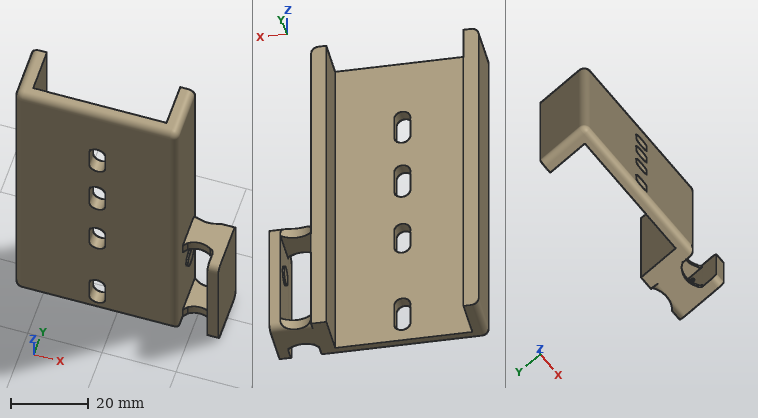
import cadquery as cq
import math

height = 87.5
total_width = 55.0
depth = 15.2

wall = 4.0
front_wall = 3.5
edge_radius = 2.0
clip_gap = 8.05
clip_wall = 3.0
channel_width = total_width - clip_gap - clip_wall

slot_width = 4.3
slot_x = 22.4
slots = [(67.5, 9.8), (50.4, 10.0), (32.3, 9.1), (8.2, 10.0)]

clip_height = 32.0
clip_depth = 15.05
arm_thickness = 3.0
front_scoop_end_y = 4.55
front_scoop_shoulder_y = 5.8
front_scoop_top_y = 6.7
scoop_shoulder = 1.0
rear_scoop_depth = 1.6

pin_diameter = 5.0
pin_y = 9.9
pin_z = 19.95
channel_pin_length = 0.5
clip_pin_length = 0.4


def make_channel():
    body = cq.Workplane("XY").box(channel_width, depth, height, centered=False)
    square_edges = cq.selectors.BoxSelector(
        (channel_width - 0.9, -0.9, -0.9), (channel_width + 0.9, depth + 0.9, 0.9)
    )
    body = body.edges(cq.StringSyntaxSelector("|Y") - square_edges).fillet(edge_radius)
    body = body.faces("<Y").edges().fillet(edge_radius)
    inside = cq.Workplane("XY").box(
        channel_width - 2 * wall, depth - front_wall, height, centered=False
    )
    return body.cut(inside.translate((wall, front_wall, 0)))


def cut_slots(body):
    for center_z, length in slots:
        cutter = (
            cq.Workplane("XZ", origin=(slot_x, 0, center_z))
            .slot2D(length, slot_width, 90)
            .extrude(-front_wall)
        )
        body = body.cut(cutter)
    return body


def make_clip():
    left = channel_width
    right = left + clip_gap
    middle = left + clip_gap / 2
    shoulder_rise = front_scoop_shoulder_y - front_scoop_end_y
    shoulder_mid = (
        right - scoop_shoulder * (1 - math.sqrt(0.5)),
        front_scoop_end_y + shoulder_rise * math.sqrt(0.5),
    )
    profile = (
        cq.Workplane("XY")
        .moveTo(left, front_scoop_end_y)
        .lineTo(left + scoop_shoulder, front_scoop_shoulder_y)
        .threePointArc((middle, front_scoop_top_y), (right - scoop_shoulder, front_scoop_shoulder_y))
        .threePointArc(shoulder_mid, (right, front_scoop_end_y))
        .lineTo(right, 0)
        .lineTo(total_width, 0)
        .lineTo(total_width, clip_depth)
        .lineTo(right, clip_depth)
        .threePointArc((middle, clip_depth - rear_scoop_depth), (left, clip_depth))
        .close()
        .extrude(clip_height)
    )
    opening = cq.Workplane("XY").box(
        clip_gap, depth, clip_height - 2 * arm_thickness, centered=False
    )
    rounded_side = (
        cq.Workplane("XY")
        .box(total_width - left, clip_depth, clip_height, centered=False)
        .edges("|X")
        .fillet(edge_radius)
        .translate((left, 0, 0))
    )
    return profile.cut(opening.translate((left, 0, arm_thickness))).intersect(rounded_side)


def make_pin(base_x, length):
    return (
        cq.Workplane("YZ", origin=(base_x, pin_y, pin_z))
        .circle(pin_diameter / 2)
        .extrude(length)
    )


result = (
    cut_slots(make_channel())
    .union(make_clip())
    .union(make_pin(channel_width, channel_pin_length))
    .union(make_pin(channel_width + clip_gap, -clip_pin_length))
)